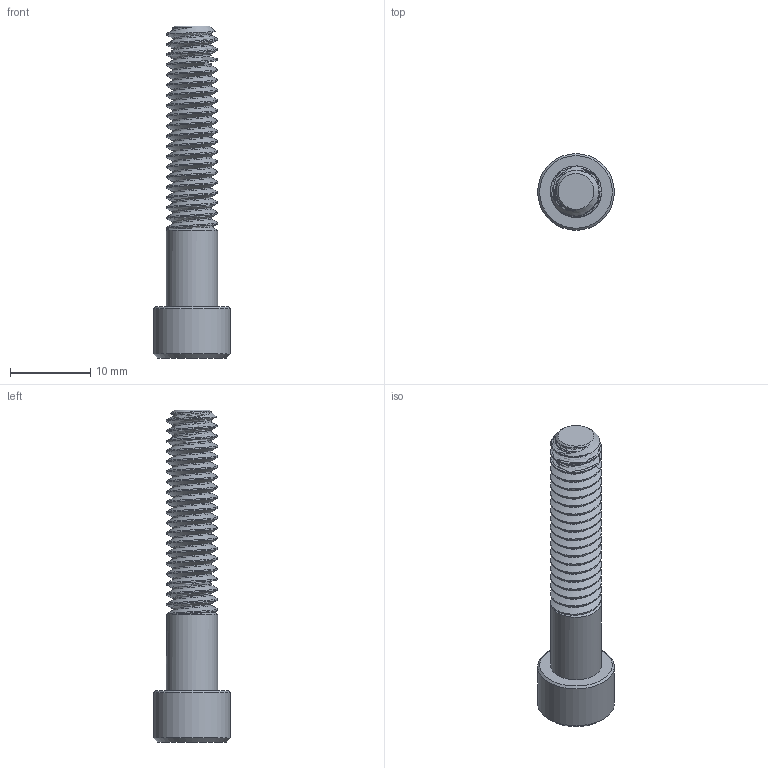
import cadquery as cq
import math

INCH = 25.4

head_diameter = 0.375 * INCH
head_height = 0.25 * INCH
head_bottom_chamfer = 0.5
head_top_chamfer = 0.25

major_diameter = 0.25 * INCH
shank_length = 1.375 * INCH
thread_length = 1.0 * INCH
threads_per_inch = 20
pitch = INCH / threads_per_inch
flank_angle = math.radians(30)
sharp_v_height = pitch / (2 * math.tan(flank_angle))
thread_depth = 17 / 24 * sharp_v_height
tip_diameter = 4.45

head_radius = head_diameter / 2
major_radius = major_diameter / 2
tip_radius = tip_diameter / 2
root_radius = major_radius - thread_depth
tip_z = shank_length
thread_start_z = tip_z - thread_length

crest_flat = pitch / 8
groove_overshoot = 0.08
groove_lead_in = pitch / 5
extra_turns = 2
zone_margin = 1.0


def make_blank():
    """Head and shank turned in one profile, before the thread is cut."""
    tip_chamfer = major_radius - tip_radius
    profile = (
        cq.Workplane("XZ")
        .moveTo(0, -head_height)
        .lineTo(head_radius - head_bottom_chamfer, -head_height)
        .lineTo(head_radius, -head_height + head_bottom_chamfer)
        .lineTo(head_radius, -head_top_chamfer)
        .lineTo(head_radius - head_top_chamfer, 0)
        .lineTo(major_radius, 0)
        .lineTo(major_radius, tip_z - tip_chamfer)
        .lineTo(tip_radius, tip_z)
        .lineTo(0, tip_z)
        .close()
    )
    return profile.revolve(360, (0, 0, 0), (0, 1, 0))


def make_groove_sweep():
    """V-groove with a flat root, swept along a right-handed helix past both thread ends."""
    outer_radius = major_radius + groove_overshoot
    groove_half_width = (pitch - crest_flat) / 2
    outer_half_width = groove_half_width + groove_overshoot * math.tan(flank_angle)
    root_half_width = groove_half_width - thread_depth * math.tan(flank_angle)

    sweep_start_z = thread_start_z + groove_lead_in - extra_turns * pitch
    sweep_height = thread_length + 2 * extra_turns * pitch
    helix = cq.Wire.makeHelix(pitch, sweep_height, major_radius, cq.Vector(0, 0, sweep_start_z))
    section = (
        cq.Workplane("XZ", origin=(0, 0, sweep_start_z))
        .moveTo(root_radius, -root_half_width)
        .lineTo(outer_radius, -outer_half_width)
        .lineTo(outer_radius, outer_half_width)
        .lineTo(root_radius, root_half_width)
        .close()
    )
    return section.sweep(cq.Workplane(helix), isFrenet=True)


def make_thread_zone():
    """Solid holding the threaded length; its conical floor ends the groove at the shank."""
    zone_radius = major_radius + zone_margin
    zone_top_z = tip_z + zone_margin
    floor_slope = math.tan(flank_angle)
    floor_apex_z = thread_start_z + major_radius * floor_slope
    floor_rim_z = thread_start_z - zone_margin * floor_slope
    profile = (
        cq.Workplane("XZ")
        .moveTo(0, floor_apex_z)
        .lineTo(zone_radius, floor_rim_z)
        .lineTo(zone_radius, zone_top_z)
        .lineTo(0, zone_top_z)
        .close()
    )
    return profile.revolve(360, (0, 0, 0), (0, 1, 0))


thread_groove = make_groove_sweep().intersect(make_thread_zone())
result = make_blank().cut(thread_groove)